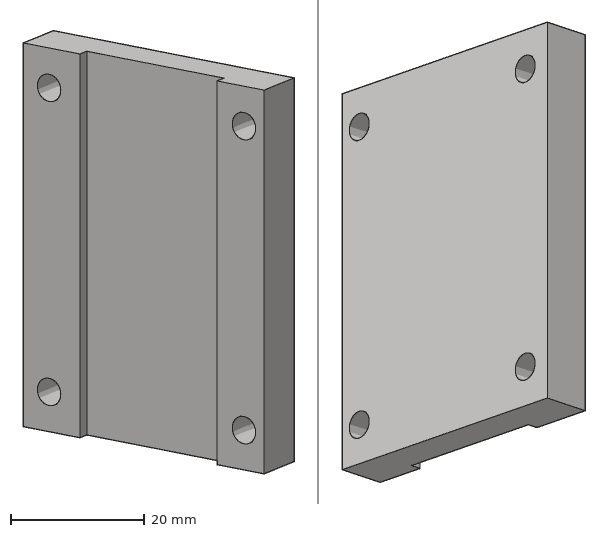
import cadquery as cq

width = 44.0
thickness = 8.0
height = 60.0

channel_left = 10.4
channel_width = 25.0
channel_depth = 1.8

hole_diameter = 4.25
hole_left = 4.75
hole_spacing_x = 35.6
hole_spacing_z = 47.5


def make_plate():
    return cq.Workplane("XY").box(width, thickness, height)


def make_channel():
    center_x = -width / 2 + channel_left + channel_width / 2
    center_y = -thickness / 2 + channel_depth / 2
    return (
        cq.Workplane("XY")
        .box(channel_width, channel_depth, height)
        .translate((center_x, center_y, 0))
    )


def make_holes():
    center_x = -width / 2 + hole_left + hole_spacing_x / 2
    return (
        cq.Workplane("XZ")
        .center(center_x, 0)
        .rect(hole_spacing_x, hole_spacing_z, forConstruction=True)
        .vertices()
        .circle(hole_diameter / 2)
        .extrude(thickness / 2, both=True)
    )


result = make_plate().cut(make_channel()).cut(make_holes())